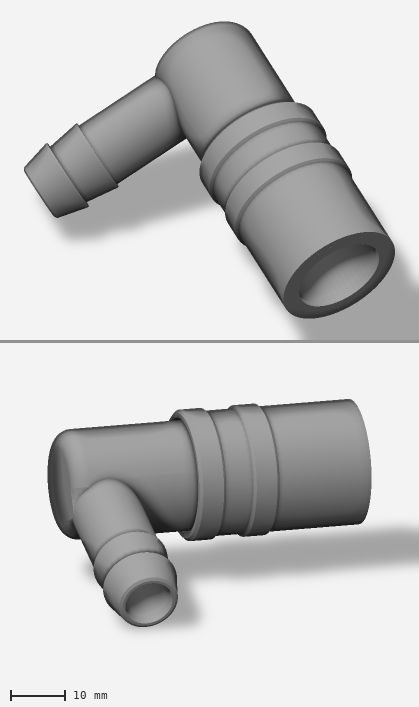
import cadquery as cq
import math

TOTAL_LENGTH = 56.65
NOZZLE_TILT = 20.0

NOZZLE_BORE_D = 9.0
PIPE_D = 12.8
BARB_D = 13.95
BARB_ROOT_D = 12.1
BARB_LAND = 0.35
FIRST_BARB = 25.45
SECOND_BARB = 31.95
TIP_D = 11.1
TIP_FACE_D = 10.0
TIP_BEVEL = 0.35
NOZZLE_LENGTH = 38.3

SHANK_D = 20.3
END_ROUND = 2.95
WALL = (PIPE_D - NOZZLE_BORE_D) / 2
SHANK_BORE_D = SHANK_D - 2 * WALL

SLEEVE_D = 23.0
SLEEVE_START = 23.85
RING_D = 24.15
RING_WIDTH = 5.1
RING_GAP = 5.1
RING_CHAMFER = (RING_D - SLEEVE_D) / 2
MOUTH_D = 21.25
MOUTH_DEPTH = 2.55
RING_STARTS = (SLEEVE_START, SLEEVE_START + RING_WIDTH + RING_GAP)

NOZZLE_X = BARB_D / 2
CLOSED_END = NOZZLE_X - PIPE_D / 2

SHANK_RIM = SHANK_D / 2
FACE_RIM = SHANK_RIM - END_ROUND
ROUND_END = CLOSED_END + END_ROUND

PIPE_HALF_CHORD = math.sqrt((PIPE_D / 2) ** 2 - (NOZZLE_X - ROUND_END) ** 2)
FADE_ANGLE = math.degrees(math.asin(PIPE_HALF_CHORD / SHANK_RIM))


def rod(diameter, start, end=TOTAL_LENGTH):
    """Solid cylinder on the X axis between two X positions."""
    return cq.Workplane("YZ", origin=(start, 0, 0)).circle(diameter / 2).extrude(end - start)


def make_nozzle():
    """Pipe along -Y with two hose barbs and a bevelled tip."""
    profile = [
        (0, 0),
        (PIPE_D / 2, 0),
        (PIPE_D / 2, FIRST_BARB),
        (BARB_D / 2, FIRST_BARB),
        (BARB_D / 2, FIRST_BARB + BARB_LAND),
        (BARB_ROOT_D / 2, SECOND_BARB),
        (BARB_D / 2, SECOND_BARB),
        (BARB_D / 2, SECOND_BARB + BARB_LAND),
        (TIP_D / 2, NOZZLE_LENGTH - TIP_BEVEL),
        (TIP_FACE_D / 2, NOZZLE_LENGTH),
        (0, NOZZLE_LENGTH),
    ]
    points = [(radius, -distance) for radius, distance in profile]
    plane = cq.Workplane("XY", origin=(NOZZLE_X, 0, 0))
    return plane.polyline(points).close().revolve(360, (0, 0), (0, 1))


def make_nozzle_bore():
    """Cutter for the nozzle bore, from the shank axis out through the tip."""
    plane = cq.Workplane("XZ", origin=(NOZZLE_X, 0, 0))
    return plane.circle(NOZZLE_BORE_D / 2).extrude(NOZZLE_LENGTH)


def rounding_edges():
    """Section, on the -Y side of the XY plane, of the material outside the end rounding.

    Returns the rounding arc and the straight edges, in order from the shank wall to the face.
    """
    half_way = END_ROUND * math.sqrt(0.5)
    front = CLOSED_END - END_ROUND
    outside = SHANK_RIM + END_ROUND
    corners = [
        cq.Vector(ROUND_END, -SHANK_RIM),
        cq.Vector(ROUND_END, -outside),
        cq.Vector(front, -outside),
        cq.Vector(front, -FACE_RIM),
        cq.Vector(CLOSED_END, -FACE_RIM),
    ]
    arc_middle = cq.Vector(ROUND_END - half_way, -FACE_RIM - half_way)
    arc = cq.Edge.makeThreePointArc(corners[-1], arc_middle, corners[0])
    lines = [cq.Edge.makeLine(p, q) for p, q in zip(corners, corners[1:])]
    return arc, lines


def make_rounding_cutter():
    """Cutter for the end rounding, all the way around except beside the pipe."""
    arc, lines = rounding_edges()
    section = cq.Wire.assembleEdges([arc, *lines])
    axis = cq.Vector(1, 0, 0)
    cutter = cq.Solid.revolve(section, [], 360 - 2 * FADE_ANGLE, cq.Vector(0, 0, 0), axis)
    return cq.Workplane(cutter).rotate((0, 0, 0), axis, FADE_ANGLE)


def make_fade_cutter(angle):
    """Cutter that fades the rounding out from the given angle to a point beside the pipe."""
    axis = cq.Vector(1, 0, 0)
    tip = cq.Vector(CLOSED_END, -SHANK_RIM, 0)
    arc, lines = rounding_edges()
    arc = arc.rotate(cq.Vector(0, 0, 0), axis, angle)
    lines = [edge.rotate(cq.Vector(0, 0, 0), axis, angle) for edge in lines]

    base = cq.Face.makeFromWires(cq.Wire.assembleEdges([arc, *lines]))
    flat_sides = [
        cq.Face.makeFromWires(cq.Wire.makePolygon([edge.startPoint(), edge.endPoint(), tip], close=True))
        for edge in lines
    ]
    side_edges = [cq.Edge.makeLine(arc.endPoint(), tip), cq.Edge.makeLine(tip, arc.startPoint())]
    curved_side = cq.Face.makeNSidedSurface([arc, *side_edges], [])
    shell = cq.Shell.makeShell([base, curved_side, *flat_sides])
    return cq.Workplane(cq.Solid.makeSolid(shell).fix())


def make_elbow():
    """Hollow shank with a rounded closed end and the barbed nozzle."""
    elbow = rod(SHANK_D, CLOSED_END).cut(make_rounding_cutter())
    for angle in (-FADE_ANGLE, FADE_ANGLE):
        elbow = elbow.cut(make_fade_cutter(angle))
    elbow = elbow.union(make_nozzle())
    elbow = elbow.cut(rod(SHANK_BORE_D, CLOSED_END + WALL))
    elbow = elbow.cut(make_nozzle_bore())
    return elbow.rotate((0, 0, 0), (1, 0, 0), NOZZLE_TILT)


def make_sleeve():
    """Sleeve with two chamfered rings, bored to fit the shank."""
    sleeve = rod(SLEEVE_D, SLEEVE_START)
    for start in RING_STARTS:
        ring = rod(RING_D, start, start + RING_WIDTH).edges().chamfer(RING_CHAMFER)
        sleeve = sleeve.union(ring)
    sleeve = sleeve.cut(rod(SHANK_D, SLEEVE_START))
    return sleeve.cut(rod(MOUTH_D, SLEEVE_START, SLEEVE_START + MOUTH_DEPTH))


elbow = make_elbow().solids()
sleeve = make_sleeve().solids()

result = cq.Compound.makeCompound([elbow.val(), sleeve.val()])